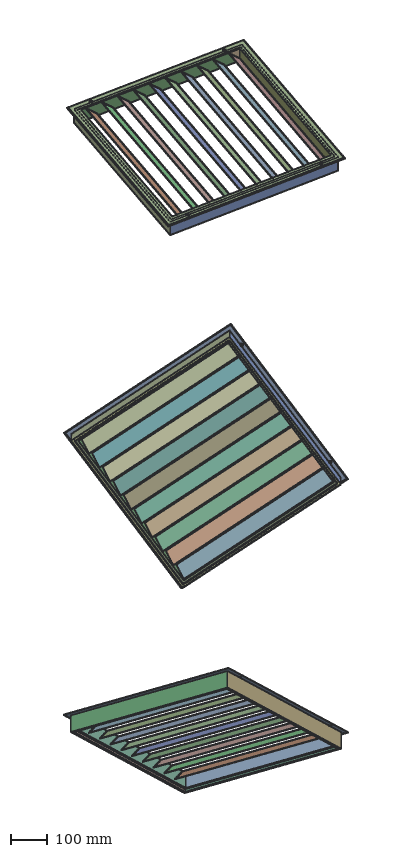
import cadquery as cq
import math

total_height = 52.0

flange_size = 557.0
flange_thickness = 3.0
bevel_height = 2.0
bevel_inset = 3.0
flange_bottom = total_height - flange_thickness

opening_size = 500.0
grille_wall = 7.0
grille_wall_size = opening_size + 2 * grille_wall
grille_wall_bottom = 7.0

hole_diameter = 4.0
countersink_diameter = 9.5
countersink_angle = 120
hole_edge_distance = 13.0
hole_spacing_y = 420.0

blade_count = 10
blade_pitch = opening_size / blade_count
blade_width = 50.0
blade_thickness = 1.5
blade_angle = 45
blade_drop = blade_width * math.sin(math.radians(blade_angle))
blade_run = blade_width * math.cos(math.radians(blade_angle))
end_face_drop = blade_thickness * math.cos(math.radians(blade_angle))

sleeve_size = 529.0


def make_flange():
    """Square plate with a bevelled rim and a square opening."""
    return (
        cq.Workplane("XY", origin=(0, 0, flange_bottom))
        .rect(flange_size, flange_size)
        .extrude(flange_thickness)
        .faces(">Z").chamfer(bevel_height, bevel_inset)
        .faces(">Z").workplane()
        .rect(opening_size, opening_size)
        .cutThruAll()
    )


def drill_screw_holes(flange):
    """Four countersunk holes in the X sides of the flange."""
    return (
        flange.faces(">Z").workplane()
        .rect(flange_size - 2 * hole_edge_distance, hole_spacing_y, forConstruction=True)
        .vertices()
        .cskHole(hole_diameter, countersink_diameter, countersink_angle)
    )


def make_tube(outer, inner, bottom, top):
    """Square tube around the Z axis."""
    return (
        cq.Workplane("XY", origin=(0, 0, bottom))
        .rect(outer, outer)
        .rect(inner, inner)
        .extrude(top - bottom)
    )


def make_blade(index):
    """Flat blade across the opening; its low edge ends at the +Y side of its pitch."""
    low_y = -opening_size / 2 + (index + 1) * blade_pitch
    center_y = low_y - blade_run / 2
    center_z = total_height - (blade_drop + end_face_drop) / 2
    return (
        cq.Workplane("XY")
        .box(opening_size, blade_width, blade_thickness)
        .rotate((0, 0, 0), (1, 0, 0), -blade_angle)
        .translate((0, center_y, center_z))
    )


def make_grille():
    """Flange, opening wall and blades in one piece."""
    grille = drill_screw_holes(make_flange())
    grille = grille.union(make_tube(grille_wall_size, opening_size, grille_wall_bottom, flange_bottom))
    for index in range(blade_count):
        grille = grille.union(make_blade(index))
    return grille


def make_sleeve():
    """Mounting sleeve, fitted around the grille wall under the flange."""
    return make_tube(sleeve_size, grille_wall_size, 0, flange_bottom)


grille = make_grille()
sleeve = make_sleeve()

result = cq.Compound.makeCompound([grille.val(), sleeve.val()])